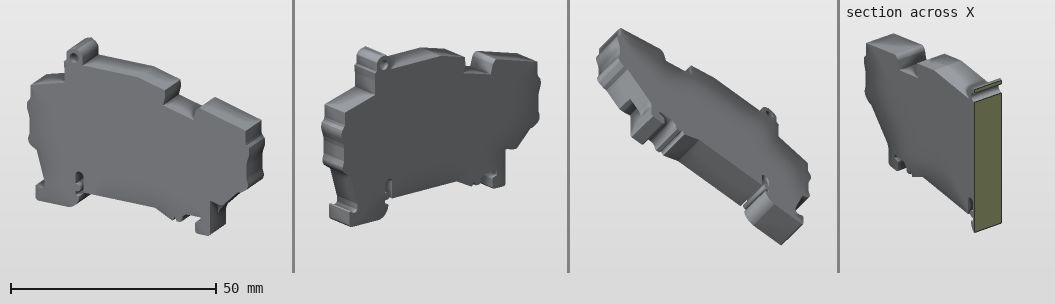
import cadquery as cq

LENGTH = 61.95
THICKNESS = 8.0
TOP_Z = 42.3
DECK_Z = 38.1
RAIL_Z = 4.65

EAR_X = 13.2
EAR_Z = 39.6
EAR_RADIUS = 2.4
EAR_HOLE_DIAMETER = 2.5
EAR_LEFT = 11.0
EAR_RIGHT = 15.55
EAR_TIP_X = 13.6
TIP_HALF_WIDTH = 0.4

SHOULDER_INSET = 1.0
SHOULDER_Z = 30.0
WAIST_INSET = 0.8
LOWER_LOBE_INSET = 0.4
LOBE_FOOT_INSET = 2.7
LOBE_FOOT_Z = 13.25

FOOT_LEFT = 2.5
FOOT_NECK = 4.9
FOOT_INNER = 13.5
SLOT_RIGHT = 15.75
LATCH_Z = 3.55

LEG_LEFT = 46.9
LEG_NOTCH = 48.4
LEG_RIGHT = 51.0
LEG_BOTTOM = 0.2
LEG_BEVEL = 0.45

RECESS_DEPTH = THICKNESS / 2


def ear_edge_z(x):
    """Height of the ear's rounded outer edge at x."""
    return EAR_Z + (EAR_RADIUS**2 - (x - EAR_X)**2) ** 0.5


def add_right_end(outline):
    """Draw the right end downward, from the shoulder to the lobe foot."""
    return (
        outline.lineTo(LENGTH - SHOULDER_INSET, SHOULDER_Z)
        .lineTo(LENGTH - SHOULDER_INSET, 26.75)
        .lineTo(LENGTH - WAIST_INSET, 26.2)
        .lineTo(LENGTH - 0.2, 25.5)
        .threePointArc((LENGTH, 24.5), (LENGTH - 0.1, 23.5))
        .lineTo(LENGTH - 0.6, 21.95)
        .lineTo(LENGTH - WAIST_INSET, 20.8)
        .lineTo(LENGTH - WAIST_INSET, 17.5)
        .lineTo(LENGTH - LOWER_LOBE_INSET, 16.05)
        .threePointArc((LENGTH - 0.45, 15.25), (LENGTH - 0.85, 14.45))
        .lineTo(LENGTH - 2.15, 13.5)
        .lineTo(LENGTH - LOBE_FOOT_INSET - 0.55, LOBE_FOOT_Z)
    )


def add_left_end(outline):
    """Draw the left end upward, from the lobe foot to the shoulder."""
    return (
        outline.lineTo(LOBE_FOOT_INSET, LOBE_FOOT_Z)
        .lineTo(2.15, 13.5)
        .lineTo(0.85, 14.45)
        .threePointArc((0.45, 15.25), (LOWER_LOBE_INSET, 16.05))
        .lineTo(WAIST_INSET, 17.5)
        .lineTo(WAIST_INSET, 20.8)
        .lineTo(0.6, 21.95)
        .lineTo(0.1, 23.5)
        .threePointArc((0, 24.5), (0.2, 25.5))
        .lineTo(WAIST_INSET, 26.2)
        .lineTo(SHOULDER_INSET, 26.75)
        .lineTo(SHOULDER_INSET, SHOULDER_Z)
    )


def add_top(outline):
    """Draw the stepped top from the ear to the right shoulder."""
    return (
        outline.lineTo(EAR_RIGHT, DECK_Z)
        .lineTo(30.9, DECK_Z)
        .lineTo(38.4, 36.1)
        .lineTo(38.5, 34.2)
        .lineTo(37.9, 32.1)
        .lineTo(46.35, 29.9)
        .lineTo(47.0, 32.4)
        .threePointArc((47.4, 32.95), (48.1, 33.45))
    )


def add_spring_leg(outline):
    """Draw the diagonal flank, the hooked leg and the rail stop beside it."""
    return (
        outline.lineTo(51.55, 6.1)
        .lineTo(LEG_RIGHT, RAIL_Z)
        .lineTo(LEG_RIGHT, LEG_BOTTOM + LEG_BEVEL)
        .lineTo(LEG_RIGHT - LEG_BEVEL, LEG_BOTTOM)
        .lineTo(LEG_LEFT + LEG_BEVEL, LEG_BOTTOM)
        .lineTo(LEG_LEFT, LEG_BOTTOM + LEG_BEVEL)
        .lineTo(LEG_LEFT, 2.85)
        .lineTo(47.0, 3.15)
        .lineTo(LEG_NOTCH, LATCH_Z)
        .lineTo(LEG_NOTCH, RAIL_Z)
        .lineTo(44.55, RAIL_Z)
        .threePointArc((43.55, 4.0), (43.1, 3.1))
        .lineTo(43.1, 2.6)
        .lineTo(42.8, 2.3)
        .lineTo(41.75, 2.3)
        .lineTo(41.2, 3.35)
        .lineTo(40.5, 2.2)
        .lineTo(35.75, RAIL_Z)
    )


def add_fixed_foot(outline):
    """Draw the rail slot with its round nib, then the foot and its neck."""
    return (
        outline.lineTo(SLOT_RIGHT, RAIL_Z)
        .lineTo(SLOT_RIGHT, 9.05)
        .threePointArc((14.6, 9.9), (FOOT_INNER, 8.9))
        .lineTo(FOOT_INNER, 6.5)
        .lineTo(14.1, 6.5)
        .threePointArc((15.0, 5.6), (14.1, RAIL_Z))
        .lineTo(FOOT_INNER, RAIL_Z)
        .lineTo(FOOT_INNER, LATCH_Z)
        .lineTo(14.55, 3.35)
        .threePointArc((13.65, 1.05), (11.7, 0))
        .lineTo(3.05, 0)
        .threePointArc((2.65, 0.25), (FOOT_LEFT, 0.8))
        .lineTo(FOOT_LEFT, 3.95)
        .lineTo(3.0, 4.1)
        .threePointArc((4.0, 3.55), (FOOT_NECK, 4.15))
        .lineTo(FOOT_NECK, 5.6)
    )


def add_ear(outline):
    """Draw the stepped left wall and the ear with its small pointed tip."""
    tip_left = EAR_TIP_X - TIP_HALF_WIDTH / 2
    tip_right = EAR_TIP_X + TIP_HALF_WIDTH
    mid_left = (EAR_LEFT + EAR_X) / 2
    mid_right = (EAR_X + EAR_RIGHT) / 2
    return (
        outline.lineTo(10.5, 32.5)
        .lineTo(10.5, 36.2)
        .lineTo(10.3, DECK_Z)
        .lineTo(10.6, DECK_Z)
        .lineTo(10.7, 38.4)
        .lineTo(EAR_LEFT, 38.4)
        .lineTo(EAR_LEFT, ear_edge_z(EAR_LEFT))
        .threePointArc((mid_left, ear_edge_z(mid_left)), (tip_left, ear_edge_z(tip_left)))
        .lineTo(EAR_TIP_X, TOP_Z)
        .lineTo(tip_right, ear_edge_z(tip_right))
        .threePointArc((mid_right, ear_edge_z(mid_right)), (EAR_RIGHT, ear_edge_z(EAR_RIGHT)))
    )


outline = cq.Workplane("XZ").moveTo(EAR_RIGHT, ear_edge_z(EAR_RIGHT))
for add_stretch in (add_top, add_right_end, add_spring_leg, add_fixed_foot, add_left_end, add_ear):
    outline = add_stretch(outline)
housing = outline.close().extrude(-THICKNESS)

ear_hole = (
    cq.Workplane("XZ")
    .center(EAR_X, EAR_Z)
    .circle(EAR_HOLE_DIAMETER / 2)
    .extrude(-THICKNESS)
)

recess = (
    cq.Workplane("XZ")
    .moveTo(LEG_RIGHT, 0)
    .lineTo(LEG_RIGHT, 9.3)
    .threePointArc((51.05, 9.5), (51.25, 9.55))
    .lineTo(51.75, 9.5)
    .lineTo(53.2, 9.05)
    .lineTo(LENGTH, 9.0)
    .lineTo(LENGTH, 0)
    .close()
    .extrude(-RECESS_DEPTH)
)

result = housing.cut(ear_hole).cut(recess)